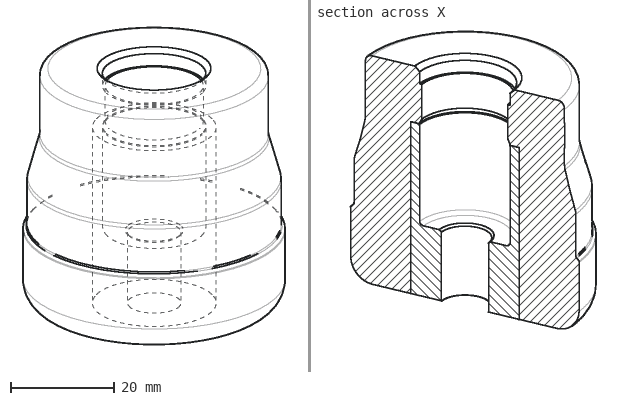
import cadquery as cq
import math


height = 49.0
base_radius = 25.4
waist_radius = 24.65
neck_radius = 22.15
base_top = 15.6
flare_angle = 45.0
cone_bottom = 26.0
cone_top = 35.0
base_fillet = 5.0
base_edge_fillet = 0.25
flare_fillet = 0.5
cone_fillet = 3.0
neck_fillet = 1.5

bore_radius = 10.0
mouth_chamfer = 1.0
rib_radius = 9.5
rib_top_depth = 3.55
rib_bottom_depth = 11.0
rib_taper_length = 0.95
land_length = 0.25

insert_wall = 2.0
insert_floor = 15.25
floor_fillet = 0.8
bolt_hole_radius = 5.2
bolt_hole_chamfer = 0.45

flare_top = base_top + (base_radius - waist_radius) / math.tan(math.radians(flare_angle))
rib_top = height - rib_top_depth
rib_bottom = height - rib_bottom_depth
taper_bottom = rib_bottom - rib_taper_length
insert_top = taper_bottom - land_length
insert_radius = bore_radius + insert_wall


def revolve_profile(points):
    """Turn a closed outline of (radius, height) points around the Z axis."""
    return cq.Workplane("XZ").polyline(points).close().revolve(360, (0, 0), (0, 1))


def edges_at_height(z):
    """Select the circular edges that lie at one height."""
    reach = 2 * base_radius
    tolerance = 0.005
    lower_corner = (-reach, -reach, z - tolerance)
    upper_corner = (reach, reach, z + tolerance)
    return cq.selectors.BoxSelector(lower_corner, upper_corner, boundingbox=True)


def make_housing_blank():
    """Solid outer shape, with each corner of its outline rounded."""
    blank = revolve_profile([
        (0, 0),
        (base_radius, 0),
        (base_radius, base_top),
        (waist_radius, flare_top),
        (waist_radius, cone_bottom),
        (neck_radius, cone_top),
        (neck_radius, height),
        (0, height),
    ])
    corner_fillets = [
        (0, base_fillet),
        (base_top, base_edge_fillet),
        (flare_top, flare_fillet),
        (cone_bottom, cone_fillet),
        (cone_top, cone_fillet),
        (height, neck_fillet),
    ]
    for corner_height, fillet_radius in corner_fillets:
        blank = blank.edges(edges_at_height(corner_height)).fillet(fillet_radius)
    return blank


def make_bore():
    """Space removed above the insert: chamfered mouth, rib and land."""
    return revolve_profile([
        (0, insert_top),
        (bore_radius, insert_top),
        (bore_radius, taper_bottom),
        (rib_radius, rib_bottom),
        (rib_radius, rib_top),
        (bore_radius, rib_top),
        (bore_radius, height - mouth_chamfer),
        (bore_radius + mouth_chamfer, height),
        (0, height),
    ])


def make_insert_envelope():
    """Outside of the insert, which is also the pocket it fills in the housing."""
    return cq.Workplane("XY").circle(insert_radius).extrude(insert_top)


def make_housing():
    return make_housing_blank().cut(make_bore()).cut(make_insert_envelope())


def make_insert():
    """Cup with a rounded floor and a chamfered bolt hole through it."""
    cup_space = (
        cq.Workplane("XY")
        .workplane(offset=insert_floor)
        .circle(bore_radius)
        .extrude(insert_top - insert_floor)
        .faces("<Z")
        .edges()
        .fillet(floor_fillet)
    )
    bolt_hole = revolve_profile([
        (0, 0),
        (bolt_hole_radius, 0),
        (bolt_hole_radius, insert_floor - bolt_hole_chamfer),
        (bolt_hole_radius + bolt_hole_chamfer, insert_floor),
        (0, insert_floor),
    ])
    return make_insert_envelope().cut(cup_space).cut(bolt_hole)


housing = make_housing()
insert = make_insert()

result = cq.Compound.makeCompound([housing.val(), insert.val()])